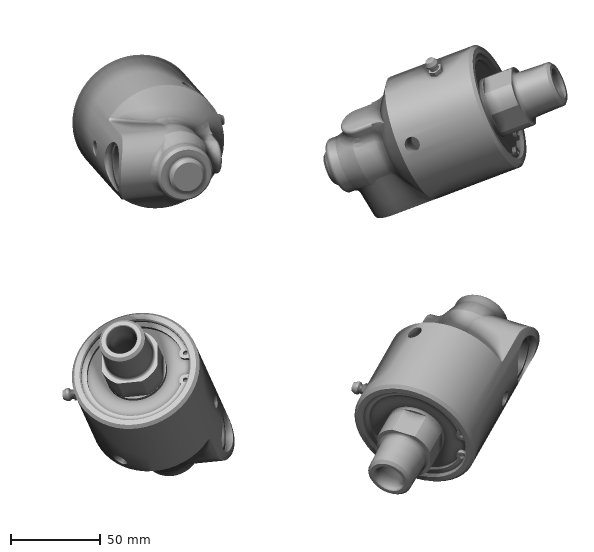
import cadquery as cq
import math


stem_tip_radius = 11.3
stem_front_radius = 13.0
stem_rear_radius = 13.6
stem_tip_chamfer = 1.5
stem_fillet = 1.5
wrench_start = 21.8
wrench_end = 38.5
wrench_diameter = 34.6
wrench_across_flats = 31.8
flange_diameter = 34.7
stem_bore_diameter = 17.5
stem_bore_depth = 124.8
stem_bore_chamfer = 0.4

housing_front = 36.7
housing_diameter = 73.0
housing_chamfer = 1.7
cone_start = 90.2
cone_end = 103.2
neck_radius = 19.4
cone_neck_fillet = 5.5
neck_end = 119.8
collar_start = 130.6
collar_radius = 16.0
collar_end = 137.5
collar_chamfer = 1.4
collar_round = 1.7
end_cap_radius = 10.2
end_cap_chamfer = 1.7
overall_length = 141.8

recess_diameter = 62.1
recess_depth = 4.3
recess_chamfer = 0.7
ring_inner_diameter = 56.1
ring_thickness = 2.1
lug_radius = 3.4
lug_hole_diameter = 2.8
lug_hole_y = -28.2
lug_hole_z = 8.5

boss_x = 113.5
port_boss_radius = 19.0
port_side_fillet = 2.1
port_end_fillet = 3.5
port_hole_x = 114.4
port_counterbore_diameter = 27.8
port_counterbore_depth = 4.3
port_mouth_diameter = 23.3
port_inner_diameter = 22.7
core_radius = 12.2
blind_boss_radius = 9.8
blind_boss_top = 25.7
blind_boss_round = 1.8
blind_boss_rim_start = 103.9
blind_boss_fillet = 6.1

weep_x = 82.1
weep_diameter = 8.6
weep_depth = 17.0
weep_count = 3

nipple_x = 58.3
nipple_root_depth = 1.4
nipple_height = 9.1
nipple_hex_sides = 6
nipple_hex_top = 39.1
nipple_hex_across_flats = 7.1
nipple_neck_diameter = 5.4
nipple_neck_top = 41.0
nipple_head_radius = 3.7
nipple_head_bottom = 42.0
nipple_head_top = 43.2
nipple_tip_radius = 2.5

housing_radius = housing_diameter / 2
recess_radius = recess_diameter / 2
nipple_top = housing_radius + nipple_height
recess_floor = housing_front + recess_depth

tolerance = 0.07


def x_cylinder(radius, start, end):
    return cq.Workplane("YZ", origin=(start, 0, 0)).circle(radius).extrude(end - start)


def turn_about_x(points):
    return cq.Workplane("XY").polyline(points).close().revolve(360, (0, 0, 0), (1, 0, 0))


def fillet_where(body, radius, is_wanted):
    """Fillet the edges whose bounding box passes the test."""
    wanted = [edge for edge in body.edges().vals() if is_wanted(edge.BoundingBox())]
    return body.newObject(wanted).fillet(radius)


def long_boss(radius, start_x, bottom_y, top_y):
    """Boss along Y with flat sides from start_x to boss_x and a round +X end."""
    height = top_y - bottom_y
    end = cq.Workplane("XZ", origin=(boss_x, top_y, 0)).circle(radius).extrude(height)
    length = boss_x - start_x
    side = cq.Workplane("XY").box(length, height, 2 * radius, centered=(False, True, True))
    return end.union(side.translate((start_x, (bottom_y + top_y) / 2, 0)))


def make_housing():
    """Turned body: cylinder, cone, neck, tapered collar and end cap."""
    profile = [
        (housing_front, 0),
        (housing_front, housing_radius - housing_chamfer),
        (housing_front + housing_chamfer, housing_radius),
        (cone_start, housing_radius),
        (cone_end, neck_radius),
        (neck_end, neck_radius),
        (collar_start, collar_radius),
        (collar_end - collar_chamfer, collar_radius),
        (collar_end, collar_radius - collar_chamfer),
        (collar_end, 0),
    ]
    housing = turn_about_x(profile)
    housing = fillet_where(housing, cone_neck_fillet, lambda box: abs(box.xmin - cone_end) < tolerance)
    chamfer_start = collar_end - collar_chamfer
    housing = fillet_where(housing, collar_round, lambda box: abs(box.xmin - chamfer_start) < tolerance)
    cap = x_cylinder(end_cap_radius, collar_end, overall_length).faces(">X").chamfer(end_cap_chamfer)
    return housing.union(cap).rotate((0, 0, 0), (1, 0, 0), 90)


def add_blind_boss(body):
    boss = long_boss(blind_boss_radius, cone_start, 0, blind_boss_top)
    body = body.union(boss)
    boss_end = boss_x + blind_boss_radius
    rim_bottom = blind_boss_top - blind_boss_round

    def is_foot_edge(box):
        """Edges where the boss sides run into the cone and the neck."""
        beside_boss = box.xmin > cone_start + tolerance and box.xmax < boss_end + tolerance
        starts_at_foot = collar_radius < box.ymin < rim_bottom
        is_upright = box.xmax - box.xmin < tolerance
        return beside_boss and starts_at_foot and not is_upright

    body = fillet_where(body, blind_boss_fillet, is_foot_edge)

    sharp_rim = long_boss(blind_boss_radius, blind_boss_rim_start, rim_bottom, blind_boss_top)
    rounded_boss = boss.faces(">Y").edges("not <X").fillet(blind_boss_round)
    return body.cut(sharp_rim.cut(rounded_boss))


def add_port_boss(body):
    boss = long_boss(port_boss_radius, cone_start, -housing_diameter, 0)
    boss = boss.intersect(x_cylinder(housing_radius, cone_start, collar_end))
    body = body.union(boss)
    boss_corner_y = -math.sqrt(housing_radius**2 - port_boss_radius**2)
    boss_end = boss_x + port_boss_radius

    def is_foot_edge(box):
        """Sloping edges between the boss outer face and the axis."""
        is_sloping = box.xmax - box.xmin > tolerance and box.ymax - box.ymin > tolerance
        return is_sloping and box.ymax < -tolerance and box.ymin > boss_corner_y - tolerance

    def is_side_foot(box):
        """Where the flat sides run into the cone and its blend with the neck."""
        return is_foot_edge(box) and cone_start - tolerance < box.xmin and box.xmax < boss_x - tolerance

    def is_end_foot(box):
        """Where the round end runs into the tapered neck and the collar."""
        return is_foot_edge(box) and neck_end - tolerance < box.xmin and box.xmax < boss_end + tolerance

    body = fillet_where(body, port_side_fillet, is_side_foot)
    return fillet_where(body, port_end_fillet, is_end_foot)


def cut_port(body):
    """Counterbored, slightly tapered hole along Y whose bottom wraps around a core along X."""
    step_y = port_counterbore_depth - housing_radius
    step_plane = cq.Workplane("XZ", origin=(port_hole_x, step_y, 0))
    hole = step_plane.circle(port_mouth_diameter / 2).workplane(offset=step_y)
    hole = hole.circle(port_inner_diameter / 2).loft()
    hole = hole.cut(x_cylinder(core_radius, cone_start, collar_end))
    counterbore = step_plane.circle(port_counterbore_diameter / 2).extrude(port_counterbore_depth)
    return body.cut(hole.union(counterbore))


def cut_weep_holes(body):
    for index in range(weep_count):
        hole = cq.Workplane("XZ", origin=(weep_x, weep_depth - housing_radius, 0))
        hole = hole.circle(weep_diameter / 2).extrude(weep_depth)
        body = body.cut(hole.rotate((0, 0, 0), (1, 0, 0), index * 360 / weep_count))
    return body


def cut_front_recess(body):
    mouth_radius = recess_radius + recess_chamfer
    recess = turn_about_x([
        (housing_front, 0),
        (housing_front, mouth_radius),
        (housing_front + recess_chamfer, recess_radius),
        (recess_floor, recess_radius),
        (recess_floor, 0),
    ])
    return body.cut(recess)


def make_retaining_ring():
    """Open ring in the recess: two lugs with plier holes beside a gap on the -Y side."""
    start = recess_floor - ring_thickness
    ring = x_cylinder(recess_radius, start, recess_floor)
    ring = ring.cut(x_cylinder(ring_inner_diameter / 2, start, recess_floor))
    lug_centers = [(lug_hole_y, -lug_hole_z), (lug_hole_y, lug_hole_z)]
    face = cq.Workplane("YZ", origin=(start, 0, 0))
    lugs = face.pushPoints(lug_centers).circle(lug_radius).extrude(ring_thickness)
    lugs = lugs.intersect(x_cylinder(recess_radius, start, recess_floor))
    gap_width = 2 * (lug_hole_z - lug_radius)
    gap = face.center(-recess_radius, 0).rect(recess_radius, gap_width).extrude(ring_thickness)
    holes = face.pushPoints(lug_centers).circle(lug_hole_diameter / 2).extrude(ring_thickness)
    return ring.union(lugs).cut(gap).cut(holes)


def make_stem():
    fillet_start = (wrench_start - stem_fillet, stem_rear_radius)
    fillet_end = (wrench_start, stem_rear_radius + stem_fillet)
    threaded_end = (
        cq.Workplane("XY")
        .moveTo(0, 0)
        .lineTo(0, stem_tip_radius)
        .lineTo(stem_tip_chamfer, stem_front_radius)
        .lineTo(*fillet_start)
        .radiusArc(fillet_end, -stem_fillet)
        .lineTo(wrench_start, 0)
        .close()
        .revolve(360, (0, 0, 0), (1, 0, 0))
    )
    wrench = x_cylinder(wrench_diameter / 2, wrench_start, wrench_end)
    length = wrench_end - wrench_start
    square = cq.Workplane("YZ", origin=(wrench_start, 0, 0))
    square = square.rect(wrench_across_flats, wrench_across_flats).extrude(length)
    wrench = wrench.intersect(square)
    flange = x_cylinder(flange_diameter / 2, wrench_end, recess_floor)
    return threaded_end.union(wrench).union(flange)


def cut_stem_bore(body):
    bore_radius = stem_bore_diameter / 2
    return body.cut(turn_about_x([
        (0, 0),
        (0, bore_radius + stem_bore_chamfer),
        (stem_bore_chamfer, bore_radius),
        (stem_bore_depth, bore_radius),
        (stem_bore_depth, 0),
    ]))


def make_nipple():
    root_y = housing_radius - nipple_root_depth
    across_corners = nipple_hex_across_flats / math.cos(math.pi / nipple_hex_sides)
    nut = cq.Workplane("XZ", origin=(nipple_x, nipple_hex_top, 0)).polygon(nipple_hex_sides, across_corners)
    nut = nut.extrude(nipple_hex_top - root_y)
    nut = nut.rotate((nipple_x, 0, 0), (nipple_x, 1, 0), 90)
    nipple_neck_radius = nipple_neck_diameter / 2
    head = (
        cq.Workplane("XY")
        .polyline([
            (0, root_y),
            (nipple_neck_radius, root_y),
            (nipple_neck_radius, nipple_neck_top),
            (nipple_head_radius, nipple_head_bottom),
            (nipple_head_radius, nipple_head_top),
            (nipple_tip_radius, nipple_top),
            (0, nipple_top),
        ])
        .close()
        .revolve(360, (0, 0, 0), (0, 1, 0))
        .translate((nipple_x, 0, 0))
    )
    return nut.union(head)


body = cut_weep_holes(make_housing())
body = add_port_boss(body)
body = add_blind_boss(body)
body = cut_port(body)
body = cut_front_recess(body)
body = body.union(make_retaining_ring())
body = body.union(make_stem())
body = cut_stem_bore(body)
result = body.union(make_nipple())